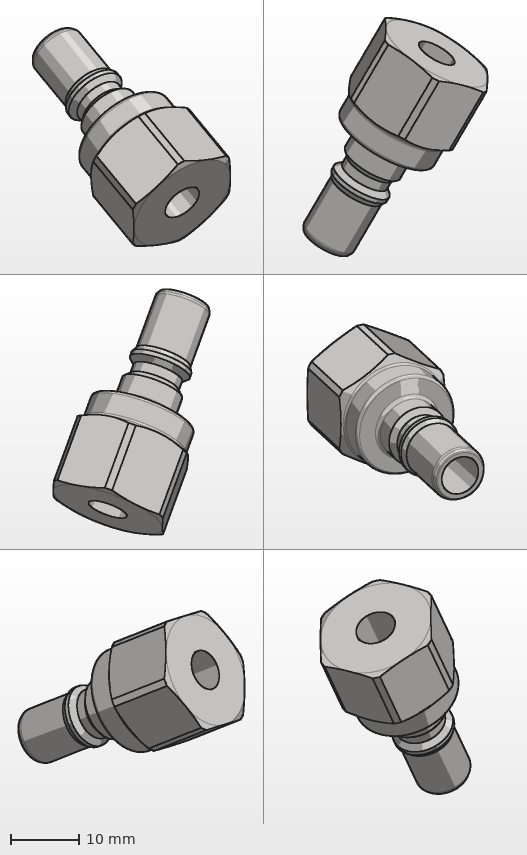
import cadquery as cq
import math

LENGTH = 34.0
BORE_RADIUS = 6.0 / 2

TUBE_RADIUS = 8.45 / 2
NOSE_ANGLE = 30.0
NOSE_EDGE_ROUND = 0.2
NOSE_REAR_ROUND = 0.8
NOSE_LENGTH = 0.92

COLLAR_RADIUS = 9.4 / 2
GROOVE_RADIUS = 7.6 / 2
COLLAR_START = 9.35
COLLAR_CREST_START = 10.2
COLLAR_CREST_END = 10.9
GROOVE_END = 13.35
GROOVE_FLANK = COLLAR_RADIUS - GROOVE_RADIUS

FLANGE_RADIUS = 16.0 / 2
FLANGE_FACE_ANGLE = 10.0
FLANGE_ROOT_ROUND = 0.6
FLANGE_EDGE_ROUND = 0.5
FLANGE_LAND_START = 18.8
FLANGE_LAND_END = 22.0

HEX_ACROSS_FLATS = 17.0
HEX_CORNER_RADIUS = 19.0 / 2
HEX_FRONT_ANGLE = 60.0
HEX_ROOT_ROUND = 0.5
HEX_END_RADIUS = 8.5
HEX_END_CHAMFER = 0.3


def on_arc(center, radius, degrees):
    """Point (x, r) on an arc, with the angle measured from +X towards +r."""
    angle = math.radians(degrees)
    return (center[0] + radius * math.cos(angle), center[1] + radius * math.sin(angle))


def add_arc(profile, center, radius, start, end):
    """Draw a line to the arc's start, then the arc, with angles in degrees."""
    middle = on_arc(center, radius, (start + end) / 2)
    profile = profile.lineTo(*on_arc(center, radius, start))
    return profile.threePointArc(middle, on_arc(center, radius, end))


def turned_envelope():
    """Solid of revolution that holds every turned outer surface."""
    nose_normal = 90 + NOSE_ANGLE
    rear_center = (NOSE_LENGTH, TUBE_RADIUS - NOSE_REAR_ROUND)
    cone_end = on_arc(rear_center, NOSE_REAR_ROUND, nose_normal)
    edge_tangent_x = NOSE_EDGE_ROUND * (1 + math.cos(math.radians(nose_normal)))
    edge_tangent_r = cone_end[1] - (cone_end[0] - edge_tangent_x) * math.tan(math.radians(NOSE_ANGLE))
    edge_center_r = edge_tangent_r - NOSE_EDGE_ROUND * math.sin(math.radians(nose_normal))
    edge_center = (NOSE_EDGE_ROUND, edge_center_r)

    profile = cq.Workplane("XY").moveTo(0, 0)
    profile = add_arc(profile, edge_center, NOSE_EDGE_ROUND, 180, nose_normal)
    profile = add_arc(profile, rear_center, NOSE_REAR_ROUND, nose_normal, 90)

    profile = (
        profile.lineTo(COLLAR_START, TUBE_RADIUS)
        .lineTo(COLLAR_CREST_START, COLLAR_RADIUS)
        .lineTo(COLLAR_CREST_END, COLLAR_RADIUS)
        .lineTo(COLLAR_CREST_END + GROOVE_FLANK, GROOVE_RADIUS)
        .lineTo(GROOVE_END, GROOVE_RADIUS)
        .lineTo(GROOVE_END + GROOVE_FLANK, COLLAR_RADIUS)
    )

    face_normal = 180 - FLANGE_FACE_ANGLE
    face_edge_center = (FLANGE_LAND_START, FLANGE_RADIUS - FLANGE_EDGE_ROUND)
    face_edge = on_arc(face_edge_center, FLANGE_EDGE_ROUND, face_normal)
    root_center_r = COLLAR_RADIUS + FLANGE_ROOT_ROUND
    root_tangent = on_arc((0, root_center_r), FLANGE_ROOT_ROUND, -FLANGE_FACE_ANGLE)
    face_run = (face_edge[1] - root_tangent[1]) * math.tan(math.radians(FLANGE_FACE_ANGLE))
    root_center = (face_edge[0] - face_run - root_tangent[0], root_center_r)
    profile = add_arc(profile, root_center, FLANGE_ROOT_ROUND, -90, -FLANGE_FACE_ANGLE)
    profile = add_arc(profile, face_edge_center, FLANGE_EDGE_ROUND, face_normal, 90)

    hex_root_center = (FLANGE_LAND_END, FLANGE_RADIUS + HEX_ROOT_ROUND)
    hex_root_end = on_arc(hex_root_center, HEX_ROOT_ROUND, HEX_FRONT_ANGLE - 90)
    cone_run = (HEX_CORNER_RADIUS - hex_root_end[1]) / math.tan(math.radians(HEX_FRONT_ANGLE))
    profile = add_arc(profile, hex_root_center, HEX_ROOT_ROUND, -90, HEX_FRONT_ANGLE - 90)

    profile = (
        profile.lineTo(hex_root_end[0] + cone_run, HEX_CORNER_RADIUS)
        .lineTo(LENGTH - HEX_END_CHAMFER, HEX_CORNER_RADIUS)
        .lineTo(LENGTH, HEX_END_RADIUS)
        .lineTo(LENGTH, 0)
        .close()
    )
    return profile.revolve(360, (0, 0, 0), (1, 0, 0))


def hexagonal_bar():
    """Full-length bar with flats facing +Y and -Y and corners along Z."""
    corner_diameter = HEX_ACROSS_FLATS / math.cos(math.radians(30))
    bar = cq.Workplane("YZ").polygon(6, corner_diameter).extrude(LENGTH)
    return bar.rotate((0, 0, 0), (1, 0, 0), 90)


def through_bore():
    return cq.Workplane("YZ").circle(BORE_RADIUS).extrude(LENGTH)


result = turned_envelope().intersect(hexagonal_bar()).cut(through_bore())